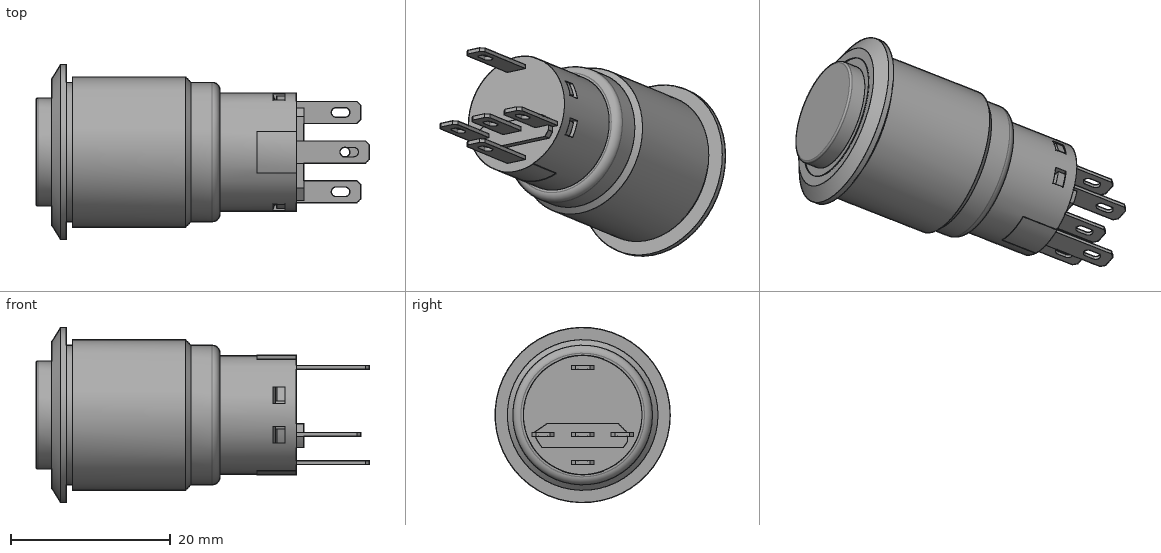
import cadquery as cq
import math


bezel_front_x = 1.95
bezel_rim_x = 3.1
bezel_back_x = 3.8
body_start_x = 4.55
body_taper_x = 18.73
collar_end_x = 23.07
barrel_end_x = 32.65

cap_dia = 13.6
bezel_face_dia = 18.4
bezel_dia = 22.0
neck_dia = 17.5
body_dia = 18.9
barrel_dia = 14.9
cap_edge_radius = 0.25
collar_edge_radius = 1.0

ring_recess_dia = 15.8
ring_recess_depth = 0.13

pad_dia = 15.0
pad_width = 5.2
pad_start_x = 27.7

window_start_x = 29.68
window_end_x = 31.2
window_low_z = 1.45
window_high_z = 3.5
window_floor_dia = 12.8
tab_dia = 14.55
tab_front_x = 30.2
groove_bottom_x = 30.0
tab_side_gap = 0.3

base_height = 0.9
base_top_z = -1.1
base_bottom_z = -4.1
base_half_flat = 4.47
base_radius = 6.5
base_shoulder_z = -2.2
base_right_y = 5.6

overall_length = 41.8
short_terminal_end_x = 40.7
terminal_width = 2.8
terminal_thickness = 0.5
terminal_chamfer = 0.5
terminal_root = 2.1
slot_length = 2.3
slot_width = 1.15
slot_end_gap = 1.4
long_terminal_z = 5.98
short_terminal_y = 4.97
short_terminal_z = -2.42


def rod(diameter, start_x, end_x):
    """Cylinder along X between two stations."""
    return cq.Workplane("YZ", origin=(start_x, 0, 0)).circle(diameter / 2).extrude(end_x - start_x)


def block(start, end):
    """Axis-aligned box between two opposite corners."""
    size = [b - a for a, b in zip(start, end)]
    return cq.Workplane("XY").box(*size, centered=False).translate(start)


def ring(outer_dia, inner_dia, start_x, end_x):
    """Tube along X between two stations."""
    return rod(outer_dia, start_x, end_x).cut(rod(inner_dia, start_x, end_x))


def revolved(points):
    """Solid of revolution about X from a closed outline of (x, radius) points."""
    return cq.Workplane("XY").polyline(points).close().revolve(360, (0, 0, 0), (1, 0, 0))


def turned_body():
    cap = rod(cap_dia, 0, bezel_front_x).faces("<X").edges().fillet(cap_edge_radius)
    taper_length = (body_dia - neck_dia) / 2
    collar = rod(neck_dia, bezel_back_x, collar_end_x).faces(">X").edges().fillet(collar_edge_radius)
    bezel_and_body = revolved([
        (bezel_front_x, 0),
        (bezel_front_x, bezel_face_dia / 2),
        (bezel_rim_x, bezel_dia / 2),
        (bezel_back_x, bezel_dia / 2),
        (bezel_back_x, neck_dia / 2),
        (body_start_x, neck_dia / 2),
        (body_start_x, body_dia / 2),
        (body_taper_x, body_dia / 2),
        (body_taper_x + taper_length, neck_dia / 2),
        (body_taper_x + taper_length, 0),
    ])
    recess = ring(ring_recess_dia, cap_dia, bezel_front_x, bezel_front_x + ring_recess_depth)
    barrel = rod(barrel_dia, body_start_x, barrel_end_x)
    return bezel_and_body.cut(recess).union(cap).union(collar).union(barrel)


def pads():
    """Thin raised skin on the barrel, at +Z and -Z."""
    strip = block((pad_start_x, -pad_width / 2, -bezel_dia), (barrel_end_x, pad_width / 2, bezel_dia))
    return rod(pad_dia, pad_start_x, barrel_end_x).intersect(strip)


def window_cutter():
    """Pocket at -Y, +Z. A V-groove separates its front wall from the snap tab left standing inside."""
    barrel_radius = barrel_dia / 2
    floor_radius = window_floor_dia / 2
    tab_radius = tab_dia / 2
    pocket = revolved([
        (window_start_x, barrel_radius),
        (groove_bottom_x, floor_radius),
        (window_end_x, floor_radius),
        (window_end_x, barrel_radius),
    ])
    tab = revolved([
        (groove_bottom_x, floor_radius),
        (tab_front_x, tab_radius),
        (window_end_x, tab_radius),
        (window_end_x, floor_radius),
    ])
    opening = block((window_start_x, -barrel_radius, window_low_z), (window_end_x, 0, window_high_z))
    tab_low_z = window_low_z + tab_side_gap
    tab_space = block((window_start_x, -barrel_radius, tab_low_z), (window_end_x, 0, window_high_z))
    return pocket.intersect(opening).cut(tab.intersect(tab_space))


def terminal_base():
    """Plinth on the rear face with sloped shoulders and round lower sides."""

    def arc_leg(other_leg):
        """Second coordinate, without sign, of a point on the round side."""
        return math.sqrt(base_radius**2 - other_leg**2)

    bottom_y = arc_leg(base_bottom_z)
    right_arc_z = -arc_leg(base_right_y)
    left_mid_z = (base_shoulder_z + base_bottom_z) / 2
    right_mid_z = (right_arc_z + base_bottom_z) / 2
    return (
        cq.Workplane("YZ", origin=(barrel_end_x, 0, 0))
        .moveTo(-base_half_flat, base_top_z)
        .lineTo(base_half_flat, base_top_z)
        .lineTo(base_right_y, base_shoulder_z)
        .lineTo(base_right_y, right_arc_z)
        .threePointArc((arc_leg(right_mid_z), right_mid_z), (bottom_y, base_bottom_z))
        .lineTo(-bottom_y, base_bottom_z)
        .threePointArc((-arc_leg(left_mid_z), left_mid_z), (-arc_leg(base_shoulder_z), base_shoulder_z))
        .close()
        .extrude(base_height)
    )


def terminal(end_x, y, z):
    """Flat blade with a chamfered tip and a wire slot, rooted inside the barrel."""
    root_x = barrel_end_x - terminal_root
    half_thickness = terminal_thickness / 2
    blade = block(
        (root_x, y - terminal_width / 2, z - half_thickness),
        (end_x, y + terminal_width / 2, z + half_thickness),
    )
    blade = blade.edges(">X and |Z").chamfer(terminal_chamfer)
    slot_center_x = end_x - slot_end_gap - slot_length / 2
    slot = (
        cq.Workplane("XY", origin=(slot_center_x, y, z))
        .slot2D(slot_length, slot_width)
        .extrude(half_thickness, both=True)
    )
    return blade.cut(slot)


result = turned_body().union(pads())

window = window_cutter()
window_pair = window.union(window.mirror("XY"))
result = result.cut(window_pair).cut(window_pair.mirror("XZ"))

result = result.union(terminal_base())

for z in (-long_terminal_z, long_terminal_z):
    result = result.union(terminal(overall_length, 0, z))
for y in (-short_terminal_y, 0, short_terminal_y):
    result = result.union(terminal(short_terminal_end_x, y, short_terminal_z))